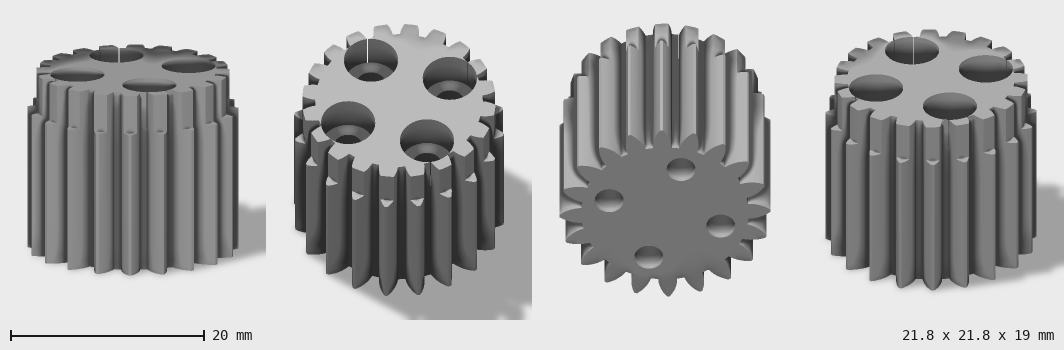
import cadquery as cq
import math

TOOTH_COUNT = 20
TIP_RADIUS = 10.9
ROOT_RADIUS = 8.65
TOTAL_HEIGHT = 19.0

ROOT_HALF_WIDTH = 0.98
MIDDLE_RADIUS = 9.79
MIDDLE_HALF_WIDTH = 0.78
TIP_HALF_WIDTH = 0.15

STEP_DIAMETER = 20.0
STEP_HEIGHT = 4.0
TRIM_MARGIN = 0.22

HOLE_COUNT = 4
HOLE_CIRCLE_RADIUS = 6.0
HOLE_DIAMETER = 3.0
COUNTERBORE_DIAMETER = 5.6
COUNTERBORE_DEPTH = STEP_HEIGHT


def rim_point(radius, offset, angle):
    """Point at a radius, offset sideways from the tooth centre line at an angle."""
    along = math.sqrt(radius**2 - offset**2)
    x = along * math.cos(angle) - offset * math.sin(angle)
    y = along * math.sin(angle) + offset * math.cos(angle)
    return (x, y)


def gear_body():
    """Full-height gear with curved flanks and round root and tip lands."""
    pitch = 2 * math.pi / TOOTH_COUNT
    outline = cq.Workplane("XY").moveTo(*rim_point(ROOT_RADIUS, -ROOT_HALF_WIDTH, 0))
    for index in range(TOOTH_COUNT):
        angle = index * pitch
        outline = (
            outline
            .threePointArc(
                rim_point(MIDDLE_RADIUS, -MIDDLE_HALF_WIDTH, angle),
                rim_point(TIP_RADIUS, -TIP_HALF_WIDTH, angle),
            )
            .threePointArc(
                rim_point(TIP_RADIUS, 0, angle),
                rim_point(TIP_RADIUS, TIP_HALF_WIDTH, angle),
            )
            .threePointArc(
                rim_point(MIDDLE_RADIUS, MIDDLE_HALF_WIDTH, angle),
                rim_point(ROOT_RADIUS, ROOT_HALF_WIDTH, angle),
            )
            .threePointArc(
                rim_point(ROOT_RADIUS, 0, angle + pitch / 2),
                rim_point(ROOT_RADIUS, -ROOT_HALF_WIDTH, angle + pitch),
            )
        )
    return outline.close().extrude(TOTAL_HEIGHT)


def tooth_step():
    """Ring that trims the tooth tips at the upper end."""
    return (
        cq.Workplane("XY", origin=(0, 0, TOTAL_HEIGHT - STEP_HEIGHT))
        .circle(TIP_RADIUS + TRIM_MARGIN)
        .circle(STEP_DIAMETER / 2)
        .extrude(STEP_HEIGHT)
    )


def counterbored_holes():
    """Through holes with wide counterbores that just break into the tooth gaps."""
    def cylinders(diameter, depth):
        return (
            cq.Workplane("XY", origin=(0, 0, TOTAL_HEIGHT))
            .polarArray(HOLE_CIRCLE_RADIUS, 0, 360, HOLE_COUNT)
            .circle(diameter / 2)
            .extrude(-depth)
        )

    through_holes = cylinders(HOLE_DIAMETER, TOTAL_HEIGHT)
    return through_holes.union(cylinders(COUNTERBORE_DIAMETER, COUNTERBORE_DEPTH))


result = gear_body().cut(tooth_step()).cut(counterbored_holes())